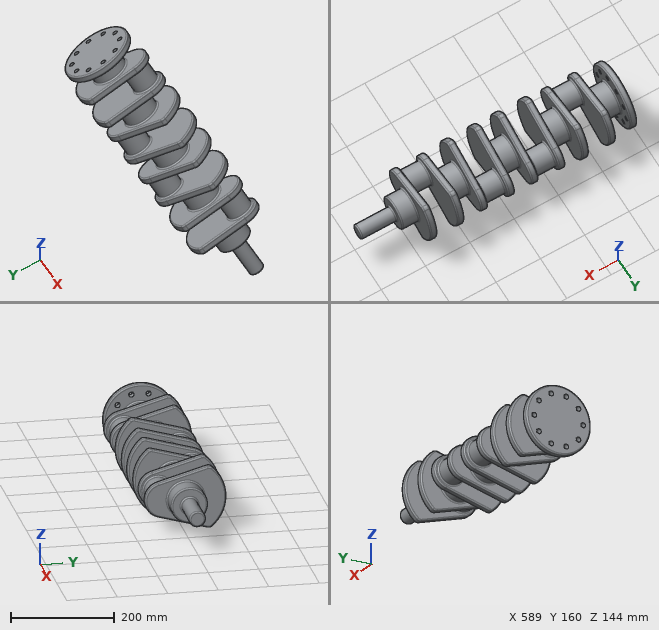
import cadquery as cq
import math

total_length = 589
nose_length = 80.0
throw_length = 76.0
pin_length = 46.0
web_thickness = (throw_length - pin_length) / 2
flange_thickness = web_thickness
throw_sides = (-1, 1, 1, -1)
crank_length = total_length - nose_length
journal_count = len(throw_sides) + 1
journal_length = (crank_length - flange_thickness - len(throw_sides) * throw_length) / journal_count

journal_radius = 72.0 / 2
pin_radius = 54.0 / 2
nose_radius = 32.0 / 2
flange_radius = 144.0 / 2
web_radius = 160.0 / 2
web_pin_end_radius = 36.0
pin_offset = web_radius - web_pin_end_radius
flank_angle = math.radians(16)
web_corner_radius = 10.0

root_fillet = 3.0
edge_fillet = 3.0

bolt_count = 10
bolt_hole_diameter = 10.0
bolt_circle_radius = 55.0


def shaft_section(start, length, radius, y=0, free_end=False):
    """Cylinder along X with a flared root at each joined end; a free far end gets a rounded rim."""
    end = start + length
    bend = root_fillet * (1 - math.sqrt(0.5))
    profile = (
        cq.Workplane("XY")
        .moveTo(start, 0)
        .lineTo(start, radius + root_fillet)
        .threePointArc((start + bend, radius + bend), (start + root_fillet, radius))
    )
    if free_end:
        profile = profile.lineTo(end, radius)
    else:
        profile = profile.lineTo(end - root_fillet, radius).threePointArc(
            (end - bend, radius + bend), (end, radius + root_fillet)
        )
    section = profile.lineTo(end, 0).close().revolve(360, (0, 0, 0), (1, 0, 0))
    if free_end:
        section = section.faces(">X").edges().fillet(edge_fillet)
    return section.translate((0, y, 0))


def web(start, side):
    """Web plate with its crankpin end on the given Y side and its counterweight opposite."""
    tangent_y = side * (pin_offset + web_pin_end_radius * math.sin(flank_angle))
    tangent_z = web_pin_end_radius * math.cos(flank_angle)
    flank_distance = web_pin_end_radius + pin_offset * math.sin(flank_angle)

    corner_angle = math.acos(flank_distance / web_radius) - flank_angle
    corner_y = -side * web_radius * math.sin(corner_angle)
    corner_z = web_radius * math.cos(corner_angle)

    plate = (
        cq.Workplane("YZ", origin=(start, 0, 0))
        .moveTo(tangent_y, tangent_z)
        .lineTo(corner_y, corner_z)
        .threePointArc((-side * web_radius, 0), (corner_y, -corner_z))
        .lineTo(tangent_y, -tangent_z)
        .threePointArc((side * web_radius, 0), (tangent_y, tangent_z))
        .close()
        .extrude(web_thickness)
    )
    counterweight_edges = ">Y" if side < 0 else "<Y"
    plate = plate.edges("|X").edges(counterweight_edges).fillet(web_corner_radius)
    return plate.faces("<X or >X").edges().fillet(edge_fillet)


def flange():
    """Round flange with a ring of through bolt holes."""
    disc = cq.Workplane("YZ").circle(flange_radius).extrude(flange_thickness)
    disc = disc.edges().fillet(edge_fillet)
    holes = (
        cq.Workplane("YZ")
        .polarArray(bolt_circle_radius, 0, 360, bolt_count)
        .circle(bolt_hole_diameter / 2)
        .extrude(flange_thickness)
    )
    return disc.cut(holes)


crank = flange()
position = flange_thickness
for side in throw_sides:
    pin_start = position + journal_length + web_thickness
    crank = (
        crank.union(shaft_section(position, journal_length, journal_radius))
        .union(web(pin_start - web_thickness, side))
        .union(shaft_section(pin_start, pin_length, pin_radius, side * pin_offset))
        .union(web(pin_start + pin_length, side))
    )
    position += journal_length + throw_length

crank = crank.union(shaft_section(position, journal_length, journal_radius, free_end=True))
result = crank.union(shaft_section(crank_length, nose_length, nose_radius, free_end=True))